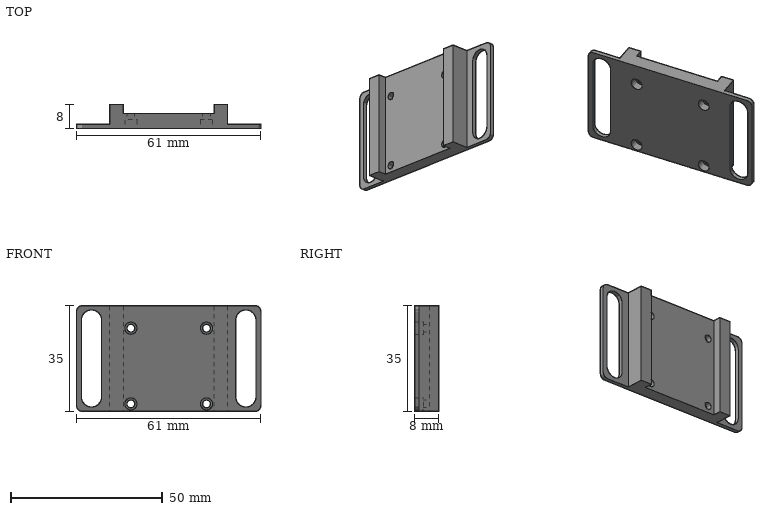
import cadquery as cq

plate_width = 61.0
plate_height = 35.0
plate_thickness = 1.5
corner_radius = 2.0

total_depth = 8.0
block_width = 39.0
rail_width = 4.5
channel_depth = 3.0
channel_width = block_width - 2 * rail_width
floor_depth = total_depth - channel_depth

slot_width = 6.6
slot_length = 32.0
slot_offset = 25.5

hole_spacing = 25.0
hole_bottom_margin = 2.5
hole_diameter = 2.5
counterbore_diameter = 4.0
counterbore_depth = 3.0
hole_center_z = -plate_height / 2 + hole_bottom_margin + hole_spacing / 2


def box_behind(front_y, width, depth):
    """Full-height box centred on X, reaching from front_y toward +Y."""
    return cq.Workplane("XY").box(width, depth, plate_height, centered=(True, False, True)).translate(
        (0, front_y, 0)
    )


def make_body():
    plate = box_behind(0, plate_width, plate_thickness).edges("|Y").fillet(corner_radius)
    block = box_behind(0, block_width, total_depth)
    channel = box_behind(floor_depth, channel_width, channel_depth)
    return plate.union(block).cut(channel)


def make_slots():
    return (
        cq.Workplane("XZ")
        .pushPoints([(-slot_offset, 0), (slot_offset, 0)])
        .slot2D(slot_length, slot_width, angle=90)
        .extrude(-plate_thickness)
    )


def make_hole_cylinders(diameter, depth):
    """Four cylinders at the screw positions, running from the front face toward +Y."""
    return (
        cq.Workplane("XZ")
        .center(0, hole_center_z)
        .rect(hole_spacing, hole_spacing, forConstruction=True)
        .vertices()
        .circle(diameter / 2)
        .extrude(-depth)
    )


screw_holes = make_hole_cylinders(hole_diameter, floor_depth)
counterbores = make_hole_cylinders(counterbore_diameter, counterbore_depth)
result = make_body().cut(make_slots()).cut(screw_holes).cut(counterbores)